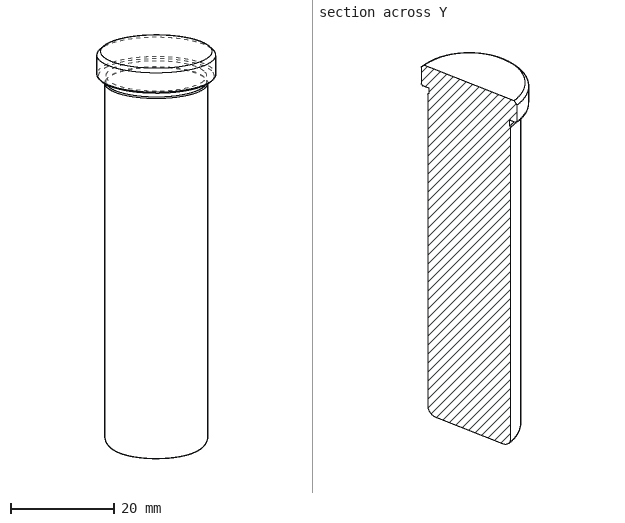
import cadquery as cq

total_length = 80.0

head_radius = 11.5
head_height = 5.0
head_top_chamfer = 0.7
head_bottom_chamfer = 0.3

neck_radius = 9.8
neck_height = 1.2
neck_taper = 0.2

shank_radius = 10.0
tip_radius = 2.0

head_bottom = total_length - head_height
neck_bottom = head_bottom - neck_height

half_section = (
    cq.Workplane("XZ")
    .lineTo(shank_radius - tip_radius, 0)
    .radiusArc((shank_radius, tip_radius), -tip_radius)
    .lineTo(shank_radius, neck_bottom - neck_taper)
    .lineTo(neck_radius, neck_bottom)
    .lineTo(neck_radius, head_bottom)
    .lineTo(head_radius - head_bottom_chamfer, head_bottom)
    .lineTo(head_radius, head_bottom + head_bottom_chamfer)
    .lineTo(head_radius, total_length - head_top_chamfer)
    .lineTo(head_radius - head_top_chamfer, total_length)
    .lineTo(0, total_length)
    .close()
)

result = half_section.revolve(360, (0, 0, 0), (0, 1, 0))